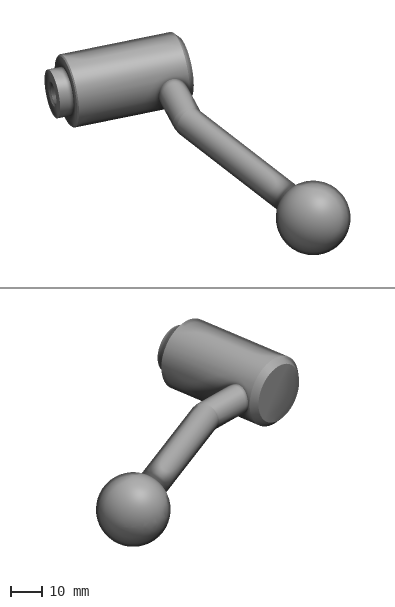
import cadquery as cq
import math

body_diameter = 24.0
body_length = 39.9
end_chamfer = 2.0
seat_chamfer = 0.5
boss_diameter = 16.0
boss_length = 4.6

hole_diameter = 7.0
hole_mouth_diameter = 8.2
hole_depth = 20.0
drill_tip_angle = 118.0

rod_diameter = 10.0
rod_inset = 7.6
bend_angle = 20.0
bend_radius = 2.5

ball_diameter = 24.0
ball_flat_diameter = 13.7
overall_length = 112.0

body_radius = body_diameter / 2
ball_radius = ball_diameter / 2
ball_x = overall_length - body_radius - ball_radius
ball_rise = 22.1
ball_y = ball_rise - rod_inset
slope = math.radians(bend_angle)
corner_x = ball_x - ball_rise / math.tan(slope)
boss_end_y = -body_length - boss_length


def make_body():
    """Chamfered cylinder with a smaller boss on its -Y end."""
    body = cq.Workplane("XZ").circle(body_radius).extrude(body_length)
    body = body.faces(">Y").chamfer(end_chamfer)
    body = body.faces("<Y").chamfer(seat_chamfer)
    boss = cq.Workplane("XZ").circle(boss_diameter / 2).extrude(-boss_end_y)
    return body.union(boss)


def make_hole():
    """Drilled hole with a 45 degree mouth chamfer and a conical bottom."""
    hole_radius = hole_diameter / 2
    mouth_radius = hole_mouth_diameter / 2
    mouth_depth = mouth_radius - hole_radius
    tip_length = hole_radius / math.tan(math.radians(drill_tip_angle / 2))
    profile = (
        cq.Workplane("XY")
        .moveTo(0, boss_end_y)
        .lineTo(mouth_radius, boss_end_y)
        .lineTo(hole_radius, boss_end_y + mouth_depth)
        .lineTo(hole_radius, boss_end_y + hole_depth)
        .lineTo(0, boss_end_y + hole_depth + tip_length)
        .close()
    )
    return profile.revolve(360, (0, 0, 0), (0, 1, 0))


def make_rod():
    """Round rod that leaves the body along X, bends, and ends in the ball."""
    tangent = bend_radius * math.tan(slope / 2)
    bend_start_x = corner_x - tangent
    bend_end_x = corner_x + tangent * math.cos(slope)
    bend_end_y = -rod_inset + tangent * math.sin(slope)
    arm_direction = cq.Vector(math.cos(slope), math.sin(slope), 0)
    arm_length = math.hypot(ball_x - bend_end_x, ball_y - bend_end_y)
    rod_radius = rod_diameter / 2

    start_plane = cq.Plane((0, -rod_inset, 0), xDir=(0, 1, 0), normal=(1, 0, 0))
    bend_plane = cq.Plane((bend_start_x, -rod_inset, 0), xDir=(0, 1, 0), normal=(1, 0, 0))
    arm_plane = cq.Plane((bend_end_x, bend_end_y, 0), xDir=(0, 0, 1), normal=arm_direction)
    stub = cq.Workplane(start_plane).circle(rod_radius).extrude(bend_start_x)
    half_width = math.sqrt(rod_radius**2 - bend_radius**2)
    bend = (
        cq.Workplane(bend_plane)
        .moveTo(bend_radius, -half_width)
        .threePointArc((-rod_radius, 0), (bend_radius, half_width))
        .close()
        .revolve(bend_angle, (bend_radius, 0), (bend_radius, 1))
    )
    arm = cq.Workplane(arm_plane).circle(rod_radius).extrude(arm_length)
    return stub.union(bend).union(arm)


def make_ball():
    """Sphere with a flat facing back along the sloping arm."""
    flat_distance = math.sqrt(ball_radius**2 - (ball_flat_diameter / 2) ** 2)
    profile = (
        cq.Workplane("XY")
        .moveTo(-flat_distance, 0)
        .lineTo(-flat_distance, ball_flat_diameter / 2)
        .threePointArc((0, ball_radius), (ball_radius, 0))
        .close()
    )
    ball = profile.revolve(360, (0, 0, 0), (1, 0, 0))
    return ball.rotate((0, 0, 0), (0, 0, 1), bend_angle).translate((ball_x, ball_y, 0))


result = make_body().union(make_rod()).union(make_ball()).cut(make_hole())